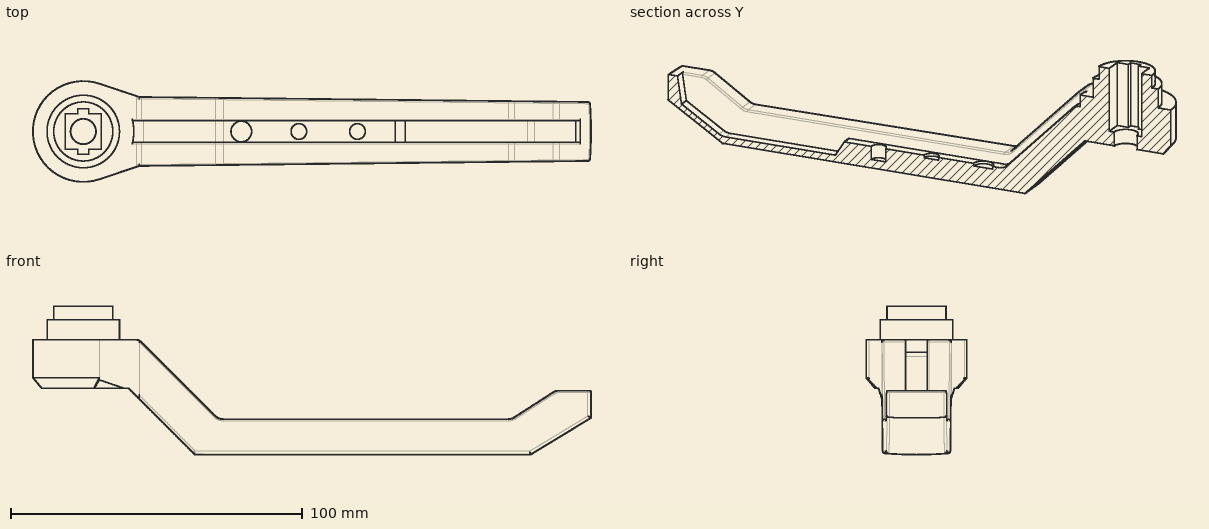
import cadquery as cq
import math

OVERALL_LENGTH = 191.5

HUB_RADIUS = 34.7 / 2
HUB_HEIGHT = 16.7
HUB_CHAMFER_HEIGHT = 3.6
HUB_CHAMFER_WIDTH = 3.0
COLLAR_RADIUS = 12.5
COLLAR_HEIGHT = 6.9
SPIGOT_RADIUS = 10.1
SPIGOT_TOP = 11.5

SOCKET_SIDE = 12.3
SOCKET_FLOOR = -11.5
KEY_WIDTH = 3.8
KEY_SPAN = 15.7
BORE_DIAMETER = 8.6

ARM_START = 19.2
ARM_END = OVERALL_LENGTH - HUB_RADIUS
GRIP_TOP = -27.2
GRIP_BOTTOM = -39.5
CRANK_FOOT = ARM_START - GRIP_TOP
LOWER_CRANK_FOOT = 38.3
UPTURN_START = 146.9
TIP_START = 162.0
TIP_TOP = -17.5
LOWER_UPTURN_START = 153.4
TIP_BOTTOM = -26.8
BEND_RADIUS = 3.8
NECK_BEND_RADIUS = 2.5

NECK_BEVEL_END = 14.0
NECK_BEVEL_END_Y = 13.6

UNDERSIDE = [
    (LOWER_CRANK_FOOT - (-HUB_HEIGHT - GRIP_BOTTOM), -HUB_HEIGHT),
    (LOWER_CRANK_FOOT, GRIP_BOTTOM),
    (LOWER_UPTURN_START, GRIP_BOTTOM),
    (ARM_END, TIP_BOTTOM),
    (ARM_END, TIP_TOP),
]
TOPSIDE = [
    (TIP_START, TIP_TOP),
    (UPTURN_START, GRIP_TOP),
    (CRANK_FOOT, GRIP_TOP),
    (ARM_START, 0),
    (0, 0),
    (0, -HUB_HEIGHT),
]
BENDS = [
    ((ARM_START, 0), NECK_BEND_RADIUS),
    ((CRANK_FOOT, GRIP_TOP), BEND_RADIUS),
    ((UPTURN_START, GRIP_TOP), BEND_RADIUS),
    ((TIP_START, TIP_TOP), BEND_RADIUS),
]

ARM_HALF_WIDTH = 11.9
TIP_HALF_WIDTH = 10.1
CROWN_RADIUS = 134.0
LOWER_EDGE_RADIUS = 1.0
UPPER_EDGE_RADIUS = 0.5

SLOT_WIDTH = 7.3
SLOT_DEPTH = 4.2
SLOT_NECK_BEND_RADIUS = 4.8
STEP_START = 107.0
STEP_END = 110.5
DEEP_FLOOR = -36.8
DEEP_UPTURN_START = 153.5
DEEP_BEND_RADIUS = 4.8
SLOT_END_FLOOR = 168.9
SLOT_END_TOP = 170.5

FLOOR_HOLES = [(54.2, 7.0, 1.0), (74.0, 5.4, 1.0), (94.0, 5.4, 4.8)]

MARGIN = 9.5


def extrude_side(points, width):
    """Extrude an XZ outline symmetrically about the XZ plane."""
    return cq.Workplane("XZ").polyline(points).close().extrude(width / 2, both=True)


def make_hub():
    """Chamfered hub with a collar and a narrower spigot on top."""
    chamfer_top = HUB_CHAMFER_HEIGHT - HUB_HEIGHT
    outline = [
        (0, -HUB_HEIGHT),
        (HUB_RADIUS - HUB_CHAMFER_WIDTH, -HUB_HEIGHT),
        (HUB_RADIUS, chamfer_top),
        (HUB_RADIUS, 0),
        (COLLAR_RADIUS, 0),
        (COLLAR_RADIUS, COLLAR_HEIGHT),
        (SPIGOT_RADIUS, COLLAR_HEIGHT),
        (SPIGOT_RADIUS, SPIGOT_TOP),
        (0, SPIGOT_TOP),
    ]
    return cq.Workplane("XZ").polyline(outline).close().revolve(360, (0, 0), (0, 1))


def make_socket():
    """Square socket with two opposite keyways, above a through bore."""
    depth = SPIGOT_TOP - SOCKET_FLOOR
    base = cq.Workplane("XY").workplane(offset=SOCKET_FLOOR)
    square = base.rect(SOCKET_SIDE, SOCKET_SIDE).extrude(depth)
    keyways = base.rect(KEY_WIDTH, KEY_SPAN).extrude(depth)
    bore = cq.Workplane("XY").workplane(offset=-HUB_HEIGHT).circle(BORE_DIAMETER / 2).extrude(HUB_HEIGHT)
    return square.union(keyways).union(bore)


def make_crown(start, end):
    """Large cylinder touching an underside line that runs from start to end in XZ."""
    run = end[0] - start[0]
    rise = end[1] - start[1]
    length = math.hypot(run, rise)
    direction = cq.Vector(run / length, 0, rise / length)
    inward = cq.Vector(-rise / length, 0, run / length)
    reach = 2 * ARM_END
    base = cq.Vector(start[0], 0, start[1]) + inward * CROWN_RADIUS - direction * reach
    return cq.Workplane(cq.Solid.makeCylinder(CROWN_RADIUS, 2 * reach, base, direction))


def make_neck_bevel(side):
    """Wedge that runs the hub chamfer out along one side (+1 or -1) of the neck's lower edge."""
    upper = cq.Vector(0, side * HUB_RADIUS, HUB_CHAMFER_HEIGHT - HUB_HEIGHT)
    lower = cq.Vector(0, side * (HUB_RADIUS - HUB_CHAMFER_WIDTH), -HUB_HEIGHT)
    run_out = cq.Vector(NECK_BEVEL_END, side * NECK_BEVEL_END_Y, -HUB_HEIGHT)
    normal = (run_out - upper).cross(lower - upper) * side
    plane = cq.Plane(origin=lower.toTuple(), xDir=(run_out - lower).toTuple(), normal=normal.toTuple())
    reach = 2 * HUB_RADIUS
    wedge = cq.Workplane(plane).rect(2 * reach, 2 * reach).extrude(reach)
    depth = HUB_HEIGHT + MARGIN
    limits = cq.Workplane("XY").box(NECK_BEVEL_END, reach, depth, centered=(False, True, False))
    return wedge.intersect(limits.translate((0, 0, -depth)))


def make_side_profile():
    """Side outline of neck and arm, with rounded topside bends, as wide as the hub."""
    profile = extrude_side(UNDERSIDE + TOPSIDE, 2 * HUB_RADIUS)
    for (x, z), radius in BENDS:
        profile = profile.edges(cq.NearestToPointSelector((x, 0, z))).fillet(radius)
    return profile


def trim_to_plan(body, half_plan):
    """Keep what lies within a plan outline given by its +Y half and mirrored in Y."""
    other_half = [(x, -y) for x, y in reversed(half_plan)]
    outline = cq.Workplane("XY").workplane(offset=GRIP_BOTTOM).polyline(half_plan + other_half).close()
    return body.intersect(outline.extrude(-GRIP_BOTTOM))


def paired_edges(body, line, half_width):
    """Edges nearest to an XZ line of corner points, at +half_width and -half_width in Y."""
    found = []
    for start, end in zip(line, line[1:]):
        middle_x = (start[0] + end[0]) / 2
        middle_z = (start[1] + end[1]) / 2
        for y in (half_width, -half_width):
            found.extend(body.edges(cq.NearestToPointSelector((middle_x, y, middle_z))).vals())
    return body.newObject(found)


def make_arm():
    """Tapered arm with a crowned underside; its root is buried in the neck and the hub."""
    taper = (ARM_HALF_WIDTH - TIP_HALF_WIDTH) / (ARM_END - ARM_START)
    root_half_width = ARM_HALF_WIDTH + taper * ARM_START
    arm = trim_to_plan(make_side_profile(), [(0, root_half_width), (ARM_END, TIP_HALF_WIDTH)])
    for start, end in zip(UNDERSIDE[1:], UNDERSIDE[2:]):
        arm = arm.intersect(make_crown(start, end))
    arm = paired_edges(arm, UNDERSIDE, ARM_HALF_WIDTH).fillet(LOWER_EDGE_RADIUS)
    upper_line = UNDERSIDE[-1:] + TOPSIDE[:-1]
    return paired_edges(arm, upper_line, ARM_HALF_WIDTH).fillet(UPPER_EDGE_RADIUS)


def make_neck():
    """Block between hub and arm; its sides run from the tangent points on the hub."""
    corner_distance = math.hypot(ARM_START, ARM_HALF_WIDTH)
    tangent_angle = math.atan2(ARM_HALF_WIDTH, ARM_START) + math.acos(HUB_RADIUS / corner_distance)
    tangent_point = (HUB_RADIUS * math.cos(tangent_angle), HUB_RADIUS * math.sin(tangent_angle))
    half_plan = [(0, HUB_RADIUS / 2), tangent_point, (ARM_START, ARM_HALF_WIDTH)]
    neck = trim_to_plan(make_side_profile(), half_plan)
    for side in (1, -1):
        neck = neck.cut(make_neck_bevel(side))
    return neck


def make_slot():
    """Slot with a shallow floor that steps down to a deep one; open above the arm."""
    floor = GRIP_TOP - SLOT_DEPTH
    underside_slope = (TIP_BOTTOM - GRIP_BOTTOM) / (ARM_END - LOWER_UPTURN_START)
    end_floor = DEEP_FLOOR + underside_slope * (SLOT_END_FLOOR - DEEP_UPTURN_START)
    outline = [
        (0, MARGIN),
        (0, -SLOT_DEPTH),
        (ARM_START, -SLOT_DEPTH),
        (CRANK_FOOT, floor),
        (STEP_START, floor),
        (STEP_END, DEEP_FLOOR),
        (DEEP_UPTURN_START, DEEP_FLOOR),
        (SLOT_END_FLOOR, end_floor),
        (SLOT_END_TOP, TIP_TOP),
        (SLOT_END_TOP, MARGIN),
    ]
    slot = extrude_side(outline, SLOT_WIDTH)
    for x, z, radius in [
        (ARM_START, -SLOT_DEPTH, SLOT_NECK_BEND_RADIUS),
        (CRANK_FOOT, floor, BEND_RADIUS),
        (DEEP_UPTURN_START, DEEP_FLOOR, DEEP_BEND_RADIUS),
    ]:
        slot = slot.edges(cq.NearestToPointSelector((x, 0, z))).fillet(radius)
    for x, diameter, depth in FLOOR_HOLES:
        hole = cq.Workplane("XY").workplane(offset=floor - depth).center(x, 0)
        slot = slot.union(hole.circle(diameter / 2).extrude(depth + SLOT_DEPTH))
    return slot


hub = make_hub()
body = make_arm().union(make_neck()).cut(make_slot())
slot_rim = [(SLOT_END_TOP, TIP_TOP)] + TOPSIDE[:-2]
body = paired_edges(body, slot_rim, SLOT_WIDTH / 2).fillet(UPPER_EDGE_RADIUS)
result = hub.union(body).cut(make_socket())